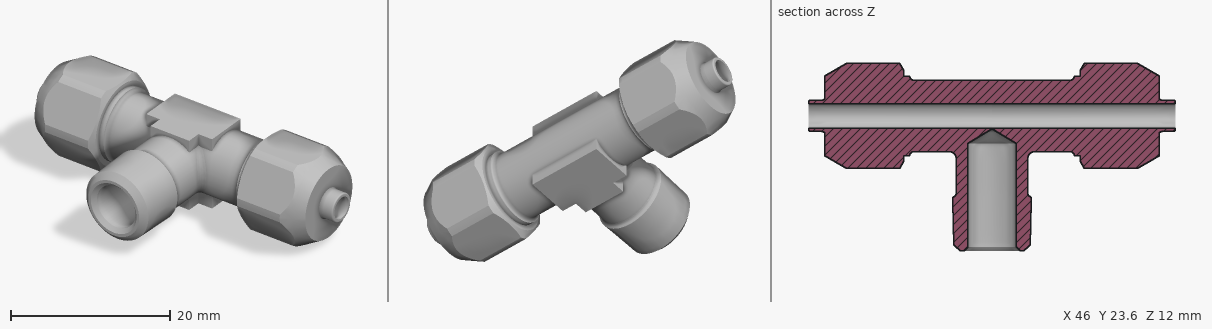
import cadquery as cq
import math


overall_length = 46.0
pipe_radius = 4.5
collar_radius = 5.0
collar_inner_x = 10.3
collar_fillet = collar_radius - pipe_radius
branch_fillet = 0.85

block_length = 10.2
block_half_width = 3.05
block_height = 10.2
block_neck_width = 6.0
block_neck_reach = 5.0

nut_inner_x = 11.05
nut_outer_x = 21.0
nut_across_flats = 12.0
nut_corner_radius = 6.62
nut_face_radius = 5.0
nut_back_radius = 5.7
nut_chamfer_angle = math.radians(30)

tube_radius = 2.0
tube_bore_radius = 1.5
tube_tip_round = 0.2
flare_length = 0.4
flare_rise = 0.15

branch_reach = 16.97
thread_start_y = 10.2
thread_start_radius = 4.95
thread_fillet = 0.45
thread_lead_angle = math.radians(60)
thread_end_radius = 4.85
thread_end_y = 16.2
thread_tip_radius = 3.95

branch_bore_radius = 3.0
branch_mouth_radius = 3.55
mouth_depth = 0.55
drill_point_angle = math.radians(118)
wall_to_run_bore = 0.15


def turned_x(points):
    """Solid of revolution about X from (x, radius) points."""
    return cq.Workplane("XY").polyline(points).close().revolve(360, (0, 0, 0), (1, 0, 0))


def turned_branch(points):
    """Solid of revolution about Y from (distance along -Y, radius) points."""
    outline = [(radius, -reach) for reach, radius in points]
    return cq.Workplane("XY").polyline(outline).close().revolve(360, (0, 0, 0), (0, 1, 0))


def both_ends(right_end):
    """The +X end of the run together with its mirror image."""
    return right_end.union(right_end.mirror("YZ"))


def make_body():
    """Crossing cylinders with the wrench block and a fillet in the two inner corners."""
    run = cq.Workplane("YZ").circle(pipe_radius).extrude(nut_inner_x, both=True)
    branch = cq.Workplane("ZX").circle(pipe_radius).extrude(-thread_start_y)
    wide = cq.Workplane("XY").box(block_length, 2 * block_half_width, block_height)
    neck = cq.Workplane("XY").box(
        block_neck_width, block_neck_reach, block_height
    ).translate((0, -block_neck_reach / 2, 0))
    tee = run.union(branch)
    inner_corners = cq.selectors.BoxSelector(
        (-pipe_radius, -pipe_radius, -pipe_radius / 2),
        (pipe_radius, -block_half_width, pipe_radius / 2),
    )
    return tee.union(wide).union(neck).edges(inner_corners).fillet(branch_fillet)


def make_collar():
    """Collar behind the nut, blended to the pipe by a concave fillet."""
    return (
        cq.Workplane("XY")
        .moveTo(nut_inner_x, 0)
        .lineTo(nut_inner_x, collar_radius)
        .lineTo(collar_inner_x, collar_radius)
        .radiusArc((collar_inner_x - collar_fillet, pipe_radius), collar_fillet)
        .lineTo(collar_inner_x - collar_fillet, 0)
        .close()
        .revolve(360, (0, 0, 0), (1, 0, 0))
    )


def make_nut():
    """Hexagon with flats at +Z and -Z, turned down at both ends and at its corners."""
    hexagon = (
        cq.Workplane("YZ", origin=(nut_inner_x, 0, 0))
        .polygon(6, nut_across_flats / math.cos(math.pi / 6))
        .extrude(nut_outer_x - nut_inner_x)
    )
    back_run = (nut_corner_radius - nut_back_radius) * math.tan(nut_chamfer_angle)
    front_run = (nut_corner_radius - nut_face_radius) / math.tan(nut_chamfer_angle)
    envelope = turned_x([
        (nut_inner_x, 0),
        (nut_inner_x, nut_back_radius),
        (nut_inner_x + back_run, nut_corner_radius),
        (nut_outer_x - front_run, nut_corner_radius),
        (nut_outer_x, nut_face_radius),
        (nut_outer_x, 0),
    ])
    return hexagon.intersect(envelope)


def make_tube():
    """Tube stub with a rounded tip and a curved flare where it meets the nut."""
    tube_end = overall_length / 2
    flare_end_x = nut_outer_x + flare_length
    flare_radius = (flare_length**2 + flare_rise**2) / (2 * flare_rise)
    return (
        cq.Workplane("XY")
        .moveTo(nut_inner_x, 0)
        .lineTo(nut_inner_x, tube_radius + flare_rise)
        .lineTo(nut_outer_x, tube_radius + flare_rise)
        .radiusArc((flare_end_x, tube_radius), -flare_radius)
        .lineTo(tube_end - tube_tip_round, tube_radius)
        .radiusArc((tube_end, tube_radius - tube_tip_round), tube_tip_round)
        .lineTo(tube_end, 0)
        .close()
        .revolve(360, (0, 0, 0), (1, 0, 0))
    )


def make_thread():
    """Tapered thread blank behind a steep lead cone, which a concave fillet blends to the branch."""
    fillet_rise = thread_fillet * (1 - math.cos(thread_lead_angle))
    fillet_run = thread_fillet * math.sin(thread_lead_angle)
    cone_radius = pipe_radius + fillet_rise
    cone_y = thread_start_y - (thread_start_radius - cone_radius) / math.tan(thread_lead_angle)
    return (
        cq.Workplane("XY")
        .moveTo(0, fillet_run - cone_y)
        .lineTo(pipe_radius, fillet_run - cone_y)
        .radiusArc((cone_radius, -cone_y), -thread_fillet)
        .lineTo(thread_start_radius, -thread_start_y)
        .lineTo(thread_end_radius, -thread_end_y)
        .lineTo(thread_tip_radius, -branch_reach)
        .lineTo(0, -branch_reach)
        .close()
        .revolve(360, (0, 0, 0), (0, 1, 0))
    )


def make_branch_bore():
    """Blind drilled hole whose point stops just short of the run bore."""
    point_y = tube_bore_radius + wall_to_run_bore
    shoulder_y = point_y + branch_bore_radius / math.tan(drill_point_angle / 2)
    return turned_branch([
        (point_y, 0),
        (shoulder_y, branch_bore_radius),
        (branch_reach - mouth_depth, branch_bore_radius),
        (branch_reach, branch_mouth_radius),
        (branch_reach, 0),
    ])


run_end = make_collar().union(make_nut()).union(make_tube())
run_bore = cq.Workplane("YZ").circle(tube_bore_radius).extrude(overall_length / 2, both=True)

result = (
    make_body()
    .union(both_ends(run_end))
    .union(make_thread())
    .cut(run_bore)
    .cut(make_branch_bore())
)